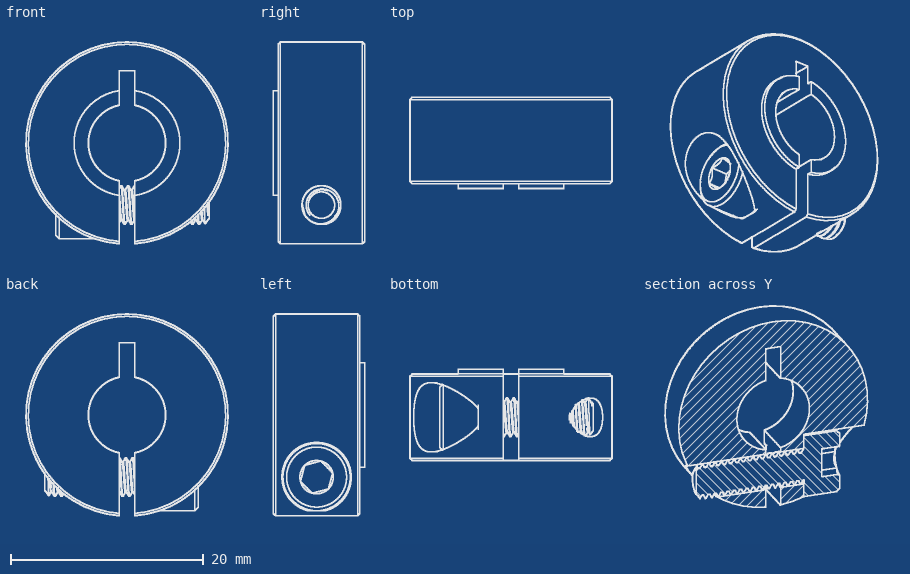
import cadquery as cq
import math

outer_diameter = 21.0
collar_width = 9.0
collar_chamfer = 0.25
hub_diameter = 11.0
hub_height = 0.5
bore_diameter = 8.0

slit_width = 1.6
slit_top = 7.5

screw_axis_z = -6.45
tip_x = 8.55
thread_diameter = 4.0
thread_depth = 0.42
thread_turns = 17
flank_angle = 30.0
shank_length = 11.95
tip_chamfer_length = 0.48
tip_chamfer_depth = 0.63
head_diameter = 7.0
head_length = 4.0
head_chamfer = 0.38
counterbore_diameter = 7.2

socket_sides = 6
socket_flats = 3.0
socket_depth = 2.0
socket_turn = 15.0
countersink_angle = 45.0

thread_radius = thread_diameter / 2
pitch = shank_length / thread_turns
crest_width = pitch / 8
seat_x = tip_x - shank_length
socket_corners = socket_flats / math.cos(math.pi / socket_sides)
countersink_depth = socket_corners / 2 * math.tan(math.radians(countersink_angle))


def y_cylinder(diameter, y_start, length):
    """Cylinder on the Y axis running from y_start towards +Y."""
    return cq.Workplane("XZ", origin=(0, y_start, 0)).circle(diameter / 2).extrude(-length)


def screw_cylinder(diameter, x_start, length):
    """Cylinder on the screw axis running from x_start towards +X."""
    return cq.Workplane("YZ", origin=(x_start, 0, screw_axis_z)).circle(diameter / 2).extrude(length)


def make_collar():
    ring = y_cylinder(outer_diameter, -collar_width / 2, collar_width).edges().chamfer(collar_chamfer)
    face_y = -collar_width / 2 - hub_height
    full_width = collar_width + hub_height
    hub = y_cylinder(hub_diameter, face_y, full_width)
    bore = y_cylinder(bore_diameter, face_y, full_width)

    slit_bottom = -outer_diameter / 2
    slit = cq.Workplane("XY").box(slit_width, 2 * full_width, slit_top - slit_bottom)
    slit = slit.translate((0, 0, (slit_top + slit_bottom) / 2))

    screw_hole = screw_cylinder(thread_diameter, seat_x, outer_diameter)
    counterbore = screw_cylinder(counterbore_diameter, seat_x - outer_diameter, outer_diameter)
    return ring.union(hub).cut(bore).cut(slit).cut(screw_hole).cut(counterbore)


def make_thread_groove():
    """Helical V groove around Z, running one turn past both ends of the shank."""
    root_radius = thread_radius - thread_depth
    flank_slope = math.tan(math.radians(flank_angle))
    outside = crest_width / 4
    root_half = (pitch - crest_width) / 2 - thread_depth * flank_slope
    outer_half = root_half + (thread_depth + outside) * flank_slope

    helix = cq.Wire.makeHelix(pitch, (thread_turns + 2) * pitch, root_radius)
    profile = cq.Workplane("XZ").polyline([
        (root_radius, -root_half),
        (thread_radius + outside, -outer_half),
        (thread_radius + outside, outer_half),
        (root_radius, root_half),
    ]).close()
    return profile.sweep(cq.Workplane(helix), isFrenet=True).translate((0, 0, -pitch))


def make_shank():
    """Threaded shank standing on the XY plane with its chamfered tip up."""
    shank = cq.Workplane("XY").circle(thread_radius).extrude(shank_length)
    shank = shank.faces(">Z").chamfer(tip_chamfer_length, tip_chamfer_depth)
    return shank.cut(make_thread_groove())


def make_head():
    """Socket head hanging below the XY plane."""
    head = cq.Workplane("XY").circle(head_diameter / 2).extrude(-head_length)
    head = head.faces("<Z").edges().chamfer(head_chamfer)

    socket = cq.Workplane("XY").polygon(socket_sides, socket_corners).extrude(socket_depth)
    socket = socket.rotate((0, 0, 0), (0, 0, 1), socket_turn)
    countersink = cq.Workplane(cq.Solid.makeCone(socket_corners / 2, 0, countersink_depth))
    return head.cut(socket.union(countersink).translate((0, 0, -head_length)))


def make_clamp_screw():
    screw = make_head().union(make_shank())
    return screw.rotate((0, 0, 0), (0, 1, 0), 90).translate((seat_x, 0, screw_axis_z))


collar = make_collar()
clamp_screw = make_clamp_screw()
result = cq.Compound.makeCompound([collar.solids().val(), clamp_screw.solids().val()])